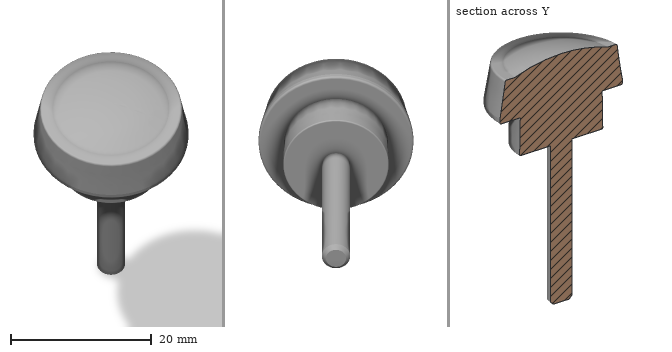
import cadquery as cq

total_height = 39.0

pin_radius = 4.0 / 2
pin_chamfer = 0.6

collar_bottom_z = 25.0
collar_bottom_radius = 7.5
collar_top_radius = 7.37
collar_edge_round = 0.2

head_bottom_z = 30.95
rim_height = 0.85
rim_radius = 22.0 / 2
head_top_radius = 10.02
head_edge_round = 0.3

dome_radius = 8.25
dome_height = 1.35
head_top_z = total_height - dome_height


def make_pin():
    pin = cq.Workplane("XY").circle(pin_radius).extrude(collar_bottom_z)
    return pin.faces("<Z").chamfer(pin_chamfer)


def make_collar():
    collar = (
        cq.Workplane("XZ")
        .moveTo(0, collar_bottom_z)
        .lineTo(collar_bottom_radius, collar_bottom_z)
        .lineTo(collar_top_radius, head_bottom_z)
        .lineTo(0, head_bottom_z)
        .close()
        .revolve(360, (0, 0, 0), (0, 1, 0))
    )
    return collar.faces("<Z").edges().fillet(collar_edge_round)


def make_head():
    head = (
        cq.Workplane("XZ")
        .moveTo(0, head_bottom_z)
        .lineTo(rim_radius, head_bottom_z)
        .lineTo(rim_radius, head_bottom_z + rim_height)
        .lineTo(head_top_radius, head_top_z)
        .lineTo(0, head_top_z)
        .close()
        .revolve(360, (0, 0, 0), (0, 1, 0))
    )
    return head.faces("<Z or >Z").edges().fillet(head_edge_round)


def make_dome():
    sphere_radius = (dome_radius**2 + dome_height**2) / (2 * dome_height)
    mid_radius = dome_radius / 2
    mid_z = total_height - sphere_radius + (sphere_radius**2 - mid_radius**2) ** 0.5
    return (
        cq.Workplane("XZ")
        .moveTo(0, head_top_z)
        .lineTo(dome_radius, head_top_z)
        .threePointArc((mid_radius, mid_z), (0, total_height))
        .close()
        .revolve(360, (0, 0, 0), (0, 1, 0))
    )


result = make_pin().union(make_collar()).union(make_head()).union(make_dome())